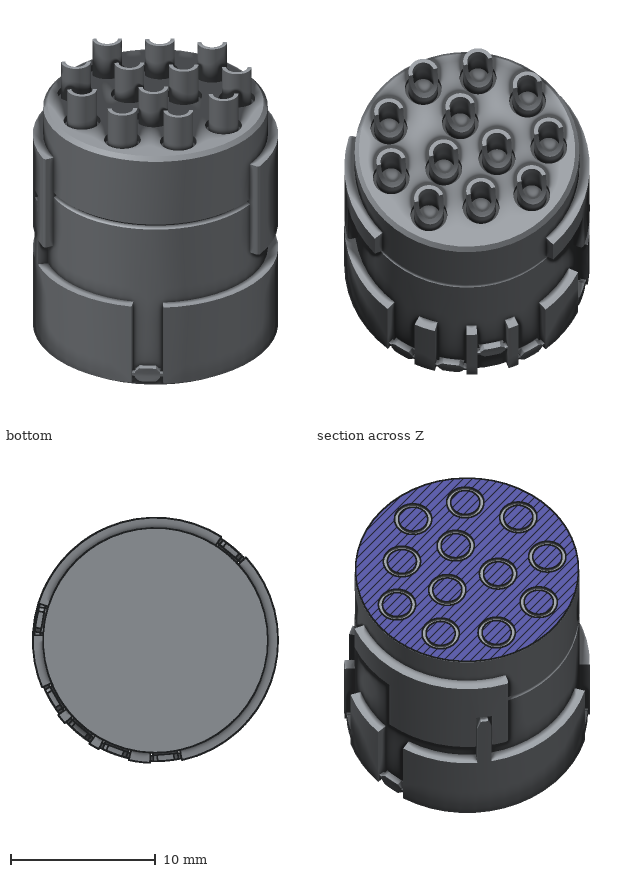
import cadquery as cq
import math

total_height = 20.5
body_radius = 7.77
body_height = 18.0
top_chamfer = 0.29

groove_bottom = 12.32
groove_apex = 12.48
groove_top = 12.73
groove_depth = 0.29

root_radius = body_radius - 2 * groove_depth
clearance = 0.2

outer_radius = 8.49
collar_bottom = 0.47
collar_top = 6.52
slot_span = 15.0
slot_angles = (85, 110, 130, 150, 190, 310)

peg_length = 1.72
peg_height = 1.02
peg_chamfer = 0.29
peg_inner_radius = 7.91
peg_outer_radius = 8.36
neck_height = peg_height - 2 * peg_chamfer
peg_low = 1.09
peg_high = 3.35
raised_peg_angle = 130
stub_length = 2.25
stub_height = 0.25

clip_bottom = 8.49
clip_top = 15.5
strip_bottom = 13.25
clip_round = 0.2
clip_1_start = 188.8
clip_1_end = 248.8
strip_1_start = 162.3
clip_2_start = 11.0
clip_2_end = 42.0
strip_2_end = 69.0
strip_overlap = 5.0

finger_angle = 237.0
finger_width = 1.0
finger_tip_width = 0.51
finger_shoulder = 10.65
finger_top = 11.45
notch_width = 1.1
notch_top = 12.0

cup_diameter = 2.05
cup_bore = 1.48
cavity_diameter = 2.55
cavity_depth = 0.5
cut_radius = 2.4
cut_direction = 135.0
outer_circle = 5.65
odd_circle = 4.55
inner_circle = 2.17
contacts = [(outer_circle, 90 - 40 * step) for step in range(8)]
contacts += [(odd_circle, 130)]
contacts += [(inner_circle, angle) for angle in (70, 190, 310)]


def revolve_span(profile, start, end):
    """Revolve an (r, z) outline about Z from one angle to another."""
    span = cq.Workplane("XZ").polyline(profile).close()
    span = span.revolve(end - start, (0, 0, 0), (0, 1, 0))
    return span.rotate((0, 0, 0), (0, 0, 1), start)


def ring_span(bottom, top, start, end):
    """Sector of the outer ring, sunk slightly past the groove into the body."""
    outline = [
        (root_radius, bottom),
        (outer_radius, bottom),
        (outer_radius, top),
        (root_radius, top),
    ]
    return revolve_span(outline, start, end)


def radial_plate(outline, inner, outer, angle):
    """Extrude a (tangent, z) outline outward between two radii at an angle."""
    plate = cq.Workplane("YZ", origin=(inner, 0, 0)).polyline(outline).close()
    return plate.extrude(outer - inner).rotate((0, 0, 0), (0, 0, 1), angle)


def make_body():
    apex_radius = body_radius - groove_depth
    outline = [
        (0, 0),
        (body_radius, 0),
        (body_radius, groove_bottom),
        (apex_radius, groove_apex),
        (body_radius, groove_top),
        (body_radius, body_height),
        (0, body_height),
    ]
    return revolve_span(outline, 0, 360).faces(">Z").edges().chamfer(top_chamfer)


def make_collar():
    """Collar sectors left between neighbouring slots."""
    sectors = []
    next_angles = slot_angles[1:] + (slot_angles[0] + 360,)
    for angle, next_angle in zip(slot_angles, next_angles):
        start = angle + slot_span / 2
        end = next_angle - slot_span / 2
        sectors.append(ring_span(collar_bottom, collar_top, start, end))
    return sectors


def radial_bar(inner, length, height):
    """Bar along +X, centred on the axis, given its tangential length and its height."""
    bar = cq.Workplane("XY").box(outer_radius - inner, length, height, centered=(False, True, True))
    return bar.translate((inner, 0, 0))


def make_peg(angle):
    """Chamfered peg on a thinner neck, with narrow stubs reaching the slot walls."""
    middle = peg_high if angle == raised_peg_angle else peg_low
    peg = radial_bar(peg_inner_radius, peg_length, peg_height).edges("|X").chamfer(peg_chamfer)
    peg = peg.union(radial_bar(root_radius, peg_length, neck_height))
    peg = peg.union(radial_bar(peg_inner_radius, stub_length, stub_height)).translate((0, 0, middle))
    peg = peg.intersect(cq.Workplane("XY").circle(peg_outer_radius).extrude(collar_top))
    return peg.rotate((0, 0, 0), (0, 0, 1), angle)


def make_clip(start, end):
    """Full-height clip pad with rounded vertical edges."""
    return ring_span(clip_bottom, clip_top, start, end).edges("|Z").fillet(clip_round)


def make_strip(start, end):
    """Clip strip whose underside slopes down to the groove."""
    outline = [
        (root_radius, groove_top),
        (body_radius, groove_top),
        (outer_radius, strip_bottom),
        (outer_radius, clip_top),
        (root_radius, clip_top),
    ]
    return revolve_span(outline, start, end)


def make_finger():
    half = finger_width / 2
    half_tip = finger_tip_width / 2
    outline = [
        (-half, collar_bottom),
        (half, collar_bottom),
        (half, finger_shoulder),
        (half_tip, finger_top),
        (-half_tip, finger_top),
        (-half, finger_shoulder),
    ]
    finger = radial_plate(outline, root_radius, outer_radius + clearance, finger_angle)
    return finger.intersect(cq.Workplane("XY").circle(outer_radius).extrude(total_height))


def make_notch():
    """Space cleared in the first clip, down to the body surface."""
    half = notch_width / 2
    outline = [(-half, clip_bottom), (half, clip_bottom), (half, notch_top), (-half, notch_top)]
    notch = radial_plate(outline, root_radius, outer_radius + clearance, finger_angle)
    return notch.cut(cq.Workplane("XY").circle(body_radius).extrude(total_height))


def make_cup():
    """Solder cup on the Z axis, its side opened by a concave scoop."""
    floor = body_height - cavity_depth
    cup = cq.Workplane("XY", origin=(0, 0, floor)).circle(cup_diameter / 2)
    cup = cup.extrude(total_height - floor)
    bore = cq.Workplane("XY", origin=(0, 0, body_height)).circle(cup_bore / 2)
    cup = cup.cut(bore.extrude(total_height - body_height))
    scoop = cq.Workplane("XZ", origin=(cut_radius, 0, total_height)).circle(cut_radius)
    cup = cup.cut(scoop.extrude(cup_diameter, both=True))
    return cup.rotate((0, 0, 0), (0, 0, 1), cut_direction)


result = make_body()
for sector in make_collar():
    result = result.union(sector)
for slot_angle in slot_angles:
    result = result.union(make_peg(slot_angle))

result = result.union(make_clip(clip_1_start, clip_1_end))
result = result.union(make_strip(strip_1_start, clip_1_start + strip_overlap))
result = result.union(make_clip(clip_2_start, clip_2_end))
result = result.union(make_strip(clip_2_end - strip_overlap, strip_2_end))
result = result.cut(make_notch()).union(make_finger())

cup = make_cup()
cavity = cq.Workplane("XY", origin=(0, 0, body_height - cavity_depth)).circle(cavity_diameter / 2)
cavity = cavity.extrude(cavity_depth)
for radius, angle in contacts:
    place = (radius * math.cos(math.radians(angle)), radius * math.sin(math.radians(angle)), 0)
    result = result.cut(cavity.translate(place)).union(cup.translate(place))